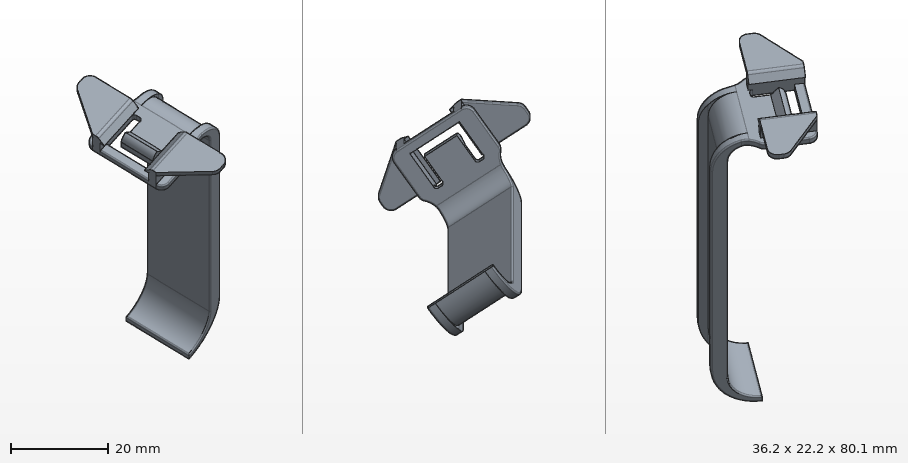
import cadquery as cq
import math


HEIGHT = 80.1
DEPTH = 22.2
WING_SPAN = 36.2

BASE_TOP = -4.4
BASE_THICKNESS = 1.7
BASE_BOTTOM = BASE_TOP - BASE_THICKNESS
BASE_HALF_WIDTH = 10.0
CORNER_RADIUS = 2.0
FLARE_START_Y = 11.05
FLARE_RADIUS = 5.0

STRAP_HALF_WIDTH = 8.13
STRAP_DEPTH = 3.5
STRAP_FRONT_Y = DEPTH - STRAP_DEPTH
TOP_OUTER_RADIUS = 7.9
TOP_INNER_RADIUS = 4.1
TIP_Y = 11.45
TIP_THICKNESS = 1.5
EDGE_FILLET = 0.3

WEB_THICKNESS = TIP_THICKNESS
WEB_BACK_Y = STRAP_FRONT_Y + WEB_THICKNESS
RECESS_HALF_WIDTH = 6.2
RECESS_MOUTH_HALF_WIDTH = 6.5
CUT_CLEARANCE = 0.8
PAD_DIAMETER = 2.9
PAD_HEIGHT = 0.2

WALL_INNER_X = 6.2
WALL_LENGTH = 11.85
WING_ROOT_X = 7.7
WING_THICKNESS = 1.4
WING_CORNER_Y = 7.8
HOOK_TIP_X = 5.1
HOOK_DEPTH = 1.8
HOOK_ROUND = 1.1
WING_FILLET = 0.25

BAR_WIDTH = 2.2
WINDOW_BACK_Y = 11.6
SLOT_FILLET = 0.65
TONGUE_HALF_WIDTH = 4.045
TONGUE_TIP_Y = 4.3
RIDGE_START_Y = 7.5
RIDGE_PEAK_Y = 5.85
RIDGE_HEIGHT = 1.8
NOSE_HEIGHT = 2.2


def on_circle(center, radius, degrees):
    """Point of a circle at an angle measured from the first axis."""
    angle = math.radians(degrees)
    return (center[0] + radius * math.cos(angle), center[1] + radius * math.sin(angle))


def extrude_across(outline, half_width):
    """Extrude a closed YZ outline to both sides of X = 0."""
    return outline.extrude(half_width, both=True)


def strap_side():
    """Base plate and hooked handle seen from the side, thickening from plate to grip."""
    top_outer = (DEPTH - TOP_OUTER_RADIUS, BASE_TOP - TOP_OUTER_RADIUS)
    top_inner = (STRAP_FRONT_Y - TOP_INNER_RADIUS, BASE_BOTTOM - TOP_INNER_RADIUS)
    hook_outer_radius = DEPTH - TIP_Y
    hook_inner_radius = STRAP_FRONT_Y - TIP_Y
    hook_outer = (TIP_Y, -HEIGHT + hook_outer_radius)
    hook_inner = (TIP_Y, -HEIGHT + TIP_THICKNESS + hook_inner_radius)
    return (
        cq.Workplane("YZ")
        .moveTo(0, BASE_TOP)
        .lineTo(top_outer[0], BASE_TOP)
        .threePointArc(on_circle(top_outer, TOP_OUTER_RADIUS, 45), (DEPTH, top_outer[1]))
        .lineTo(DEPTH, hook_outer[1])
        .threePointArc(on_circle(hook_outer, hook_outer_radius, -45), (TIP_Y, -HEIGHT))
        .lineTo(TIP_Y, -HEIGHT + TIP_THICKNESS)
        .threePointArc(on_circle(hook_inner, hook_inner_radius, -45), (STRAP_FRONT_Y, hook_inner[1]))
        .lineTo(STRAP_FRONT_Y, top_inner[1])
        .threePointArc(on_circle(top_inner, TOP_INNER_RADIUS, 45), (top_inner[0], BASE_BOTTOM))
        .lineTo(0, BASE_BOTTOM)
        .close()
    )


def strap_plan():
    """Rounded base plate flaring in to the width of the handle, as a tall prism."""
    arcs_sum = CORNER_RADIUS + FLARE_RADIUS
    turn = math.degrees(math.acos(1 - (BASE_HALF_WIDTH - STRAP_HALF_WIDTH) / arcs_sum))
    flare_end_y = FLARE_START_Y + arcs_sum * math.sin(math.radians(turn))
    front = (BASE_HALF_WIDTH - CORNER_RADIUS, CORNER_RADIUS)
    shoulder = (front[0], FLARE_START_Y)
    flare = (STRAP_HALF_WIDTH + FLARE_RADIUS, flare_end_y)
    return (
        cq.Workplane("XY")
        .moveTo(0, 0)
        .lineTo(front[0], 0)
        .threePointArc(on_circle(front, CORNER_RADIUS, -45), (BASE_HALF_WIDTH, front[1]))
        .lineTo(BASE_HALF_WIDTH, FLARE_START_Y)
        .threePointArc(
            on_circle(shoulder, CORNER_RADIUS, turn / 2), on_circle(shoulder, CORNER_RADIUS, turn)
        )
        .threePointArc(
            on_circle(flare, FLARE_RADIUS, 180 + turn / 2), (STRAP_HALF_WIDTH, flare_end_y)
        )
        .lineTo(STRAP_HALF_WIDTH, DEPTH)
        .lineTo(0, DEPTH)
        .mirrorY()
        .extrude(-HEIGHT)
    )


def hook_trim():
    """Space right of the handle's lower half, where the plan's base plate must not reach."""
    trim = cq.Workplane("XY").box(BASE_HALF_WIDTH, DEPTH, HEIGHT / 2, centered=False)
    return trim.translate((STRAP_HALF_WIDTH, 0, -HEIGHT))


def is_outline_edge(edge):
    """Whether an edge is more than a short upright line across the thickness."""
    box = edge.BoundingBox()
    return max(box.xlen, box.ylen) > EDGE_FILLET or box.zlen > STRAP_DEPTH


def is_end_edge(edge):
    """Whether an edge borders the front of the base plate or the top of the hook's tip."""
    center = edge.Center()
    at_front = center.y < EDGE_FILLET
    at_tip = abs(center.y - TIP_Y) < EDGE_FILLET
    at_tip_top = abs(center.z + HEIGHT - TIP_THICKNESS) < EDGE_FILLET
    return at_front or (at_tip and at_tip_top)


def strap_body():
    """Base plate and handle with rounded edges, before the recess and window are cut."""
    body = extrude_across(strap_side(), BASE_HALF_WIDTH).intersect(strap_plan())
    body = body.cut(hook_trim()).cut(hook_trim().mirror("YZ"))
    side_edges = body.edges("not |X").filter(is_outline_edge)
    end_edges = body.edges("|X").filter(is_end_edge)
    return body.newObject(side_edges.vals() + end_edges.vals()).fillet(EDGE_FILLET)


def back_recess():
    """Space behind the web, between the two rails and widening outward."""
    start_y = DEPTH - TOP_OUTER_RADIUS
    top_radius = WEB_BACK_Y - start_y
    top = (start_y, BASE_TOP - top_radius)
    hook_radius = WEB_BACK_Y - TIP_Y
    hook = (TIP_Y, -HEIGHT + hook_radius)
    outside_y = DEPTH + CUT_CLEARANCE
    outline = (
        cq.Workplane("YZ")
        .moveTo(start_y, BASE_TOP)
        .threePointArc(on_circle(top, top_radius, 45), (WEB_BACK_Y, top[1]))
        .lineTo(WEB_BACK_Y, hook[1])
        .threePointArc(on_circle(hook, hook_radius, -45), (TIP_Y, -HEIGHT))
        .lineTo(outside_y, -HEIGHT)
        .lineTo(outside_y, BASE_TOP)
        .close()
    )
    tapered_plan = (
        cq.Workplane("XY")
        .moveTo(0, 0)
        .lineTo(RECESS_HALF_WIDTH, 0)
        .lineTo(RECESS_HALF_WIDTH, WEB_BACK_Y)
        .lineTo(RECESS_MOUTH_HALF_WIDTH, DEPTH)
        .lineTo(RECESS_MOUTH_HALF_WIDTH, outside_y)
        .lineTo(0, outside_y)
        .mirrorY()
        .extrude(-HEIGHT)
    )
    return extrude_across(outline, STRAP_HALF_WIDTH).intersect(tapered_plan)


def back_pad():
    """Low round pad in the middle of the web's back."""
    return (
        cq.Workplane("XZ", origin=(0, WEB_BACK_Y, -HEIGHT / 2))
        .circle(PAD_DIAMETER / 2)
        .extrude(-PAD_HEIGHT)
    )


def window():
    """U-shaped slot around the latch tongue."""
    opening = (
        cq.Workplane("XY", origin=(0, 0, BASE_BOTTOM))
        .moveTo(-WALL_INNER_X, BAR_WIDTH)
        .lineTo(WALL_INNER_X, BAR_WIDTH)
        .lineTo(WALL_INNER_X, WINDOW_BACK_Y)
        .lineTo(TONGUE_HALF_WIDTH, WINDOW_BACK_Y)
        .lineTo(TONGUE_HALF_WIDTH, TONGUE_TIP_Y)
        .lineTo(-TONGUE_HALF_WIDTH, TONGUE_TIP_Y)
        .lineTo(-TONGUE_HALF_WIDTH, WINDOW_BACK_Y)
        .lineTo(-WALL_INNER_X, WINDOW_BACK_Y)
        .close()
        .extrude(BASE_THICKNESS)
    )
    return opening.edges("|Z").edges(">Y").fillet(SLOT_FILLET)


def latch_ridge():
    """Ridge on the tongue: a ramp at the back and a rounded nose at the tip."""
    peak_z = BASE_TOP + RIDGE_HEIGHT
    nose_length = RIDGE_PEAK_Y - TONGUE_TIP_Y
    nose_radius = (nose_length**2 + NOSE_HEIGHT**2) / (2 * nose_length)
    nose = (TONGUE_TIP_Y + nose_radius, peak_z - NOSE_HEIGHT)
    nose_turn = math.degrees(math.asin(NOSE_HEIGHT / nose_radius))
    outline = (
        cq.Workplane("YZ")
        .moveTo(RIDGE_START_Y, BASE_TOP)
        .lineTo(RIDGE_PEAK_Y, peak_z)
        .threePointArc(on_circle(nose, nose_radius, 180 - nose_turn / 2), (TONGUE_TIP_Y, nose[1]))
        .lineTo(TONGUE_TIP_Y, BASE_BOTTOM)
        .lineTo(RIDGE_START_Y, BASE_BOTTOM)
        .close()
    )
    return extrude_across(outline, TONGUE_HALF_WIDTH)


def wing():
    """Right wing plate with a rounded outer end."""
    tip_x = WING_SPAN / 2
    plate = (
        cq.Workplane("XY")
        .moveTo(WING_ROOT_X, 0)
        .lineTo(STRAP_HALF_WIDTH, 0)
        .lineTo(tip_x, WING_CORNER_Y)
        .lineTo(tip_x, WALL_LENGTH)
        .lineTo(WING_ROOT_X, WALL_LENGTH)
        .close()
        .extrude(-WING_THICKNESS)
    )
    plate = plate.edges("|Z and >X").fillet(CORNER_RADIUS)
    return plate.faces("<Z").edges("not <X").fillet(WING_FILLET)


def wall():
    """Right wall with the inward hook at its top."""
    hook_corner_x = HOOK_TIP_X + HOOK_DEPTH
    hooked_wall = (
        cq.Workplane("XZ")
        .moveTo(WALL_INNER_X, BASE_BOTTOM + EDGE_FILLET)
        .lineTo(STRAP_HALF_WIDTH, BASE_BOTTOM + EDGE_FILLET)
        .lineTo(STRAP_HALF_WIDTH, 0)
        .lineTo(hook_corner_x, 0)
        .lineTo(HOOK_TIP_X, -HOOK_DEPTH)
        .lineTo(WALL_INNER_X, -HOOK_DEPTH)
        .close()
        .extrude(-WALL_LENGTH)
    )
    hook_corner = cq.selectors.NearestToPointSelector((hook_corner_x, WALL_LENGTH / 2, 0))
    return hooked_wall.edges(hook_corner).fillet(HOOK_ROUND)


strap = strap_body().cut(back_recess())
strap = strap.union(back_pad()).cut(window()).union(latch_ridge())

right_side = wall().union(wing())
result = strap.union(right_side).union(right_side.mirror("YZ"))